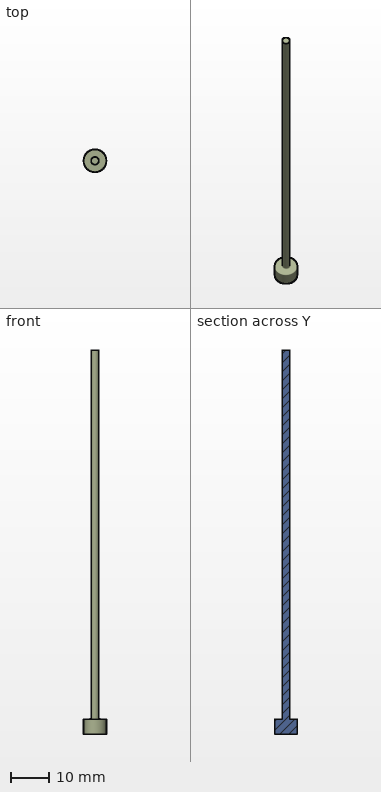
import cadquery as cq

total_length = 100.0
head_diameter = 6.0
head_height = 4.0
shank_diameter = 2.0

head_rim_fillet = 0.2
neck_fillet = 0.3

head = cq.Workplane("XY").circle(head_diameter / 2).extrude(head_height)
head = head.edges("%CIRCLE").fillet(head_rim_fillet)

shank = cq.Workplane("XY").circle(shank_diameter / 2).extrude(total_length)

neck_corner = cq.selectors.BoxSelector(
    (-shank_diameter, -shank_diameter, head_height - neck_fillet),
    (shank_diameter, shank_diameter, head_height + neck_fillet),
    boundingbox=True,
)
result = head.union(shank).edges(neck_corner).edges("%CIRCLE").fillet(neck_fillet)